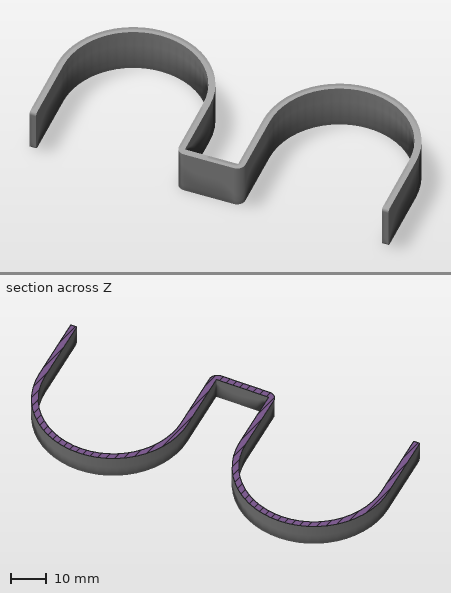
import cadquery as cq

strip_thickness = 2.0
strip_width = 14.0
hook_inner_radius = 21.0
leg_length = 21.0
hook_spacing = 62.0
bridge_corner_radius = 2.5
tip_radius = 1.0

hook_outer_radius = hook_inner_radius + strip_thickness
hook_center_x = hook_spacing / 2
bridge_half_length = hook_center_x - hook_inner_radius
tip_middle_x = hook_center_x + hook_inner_radius + strip_thickness / 2


def arch_solid(radius):
    """Upright U-shaped block: a half disc on top of a rectangle as long as the legs."""
    return (
        cq.Workplane("XY")
        .moveTo(-radius, -leg_length)
        .lineTo(-radius, 0)
        .threePointArc((0, radius), (radius, 0))
        .lineTo(radius, -leg_length)
        .close()
        .extrude(strip_width)
    )


def hook(center_x):
    """One arch-shaped strip with two straight legs."""
    strip = arch_solid(hook_outer_radius).cut(arch_solid(hook_inner_radius))
    return strip.translate((center_x, 0, 0))


def bridge():
    """Flat strip joining the two inner legs at their lower ends."""
    return cq.Workplane("XY").box(
        2 * bridge_half_length, strip_thickness, strip_width, centered=(True, False, False)
    ).translate((0, -leg_length, 0))


def round_bridge_corners(body):
    """Round the two outer vertical edges at the ends of the bridge."""
    for side in (-1, 1):
        corner = (side * bridge_half_length, -leg_length, strip_width / 2)
        body = body.edges(cq.selectors.NearestToPointSelector(corner)).fillet(bridge_corner_radius)
    return body


def round_tips(body):
    """Round the top and bottom end edges of the two free legs."""
    for side in (-1, 1):
        for z in (0, strip_width):
            tip = (side * tip_middle_x, -leg_length, z)
            body = body.edges(cq.selectors.NearestToPointSelector(tip)).fillet(tip_radius)
    return body


clip = hook(-hook_center_x).union(hook(hook_center_x)).union(bridge()).clean()
clip = round_bridge_corners(clip)
result = round_tips(clip)